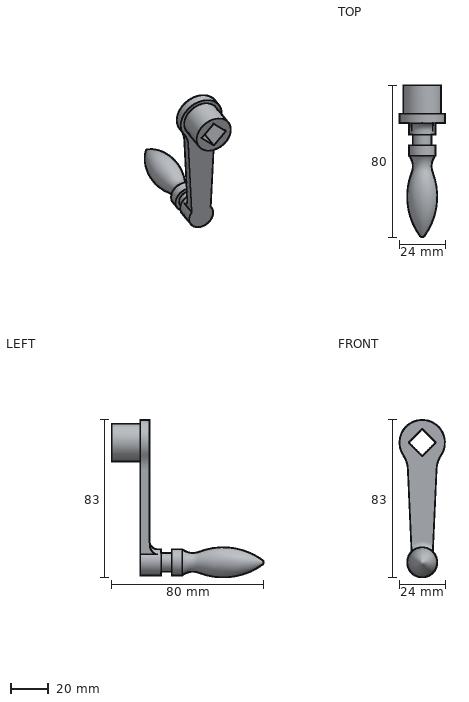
import cadquery as cq
import math

arm_length = 63.0
arm_thickness = 5.0
arm_head_radius = 12.0
arm_half_width_at_hub = 8.25
arm_half_width_at_handle = 5.4
arm_neck_fillet = 14.0

hub_radius = 10.0
hub_length = 15.0
square_side = 10.0

boss_radius = 7.0
boss_length = 11.0
boss_fillet = 4.0

pin_radius = 5.0
collar_start = 16.5
collar_radius = 7.0
waist_radius = 5.0
waist_arc_radius = 9.0
grip_radius = 8.0
grip_arc_radius = 35.0
tip_radius = 1.5
handle_end = 65.0


def point_on_circle(center, radius, angle):
    return (center[0] + radius * math.cos(angle), center[1] + radius * math.sin(angle))


def mirrored(point):
    return (-point[0], point[1])


def arm_outline():
    """Closed arm outline: round head blended into straight sides that taper towards the handle."""
    taper = math.atan2(arm_half_width_at_hub - arm_half_width_at_handle, arm_length)

    offset_from_axis = arm_half_width_at_hub * math.cos(taper) + arm_neck_fillet
    center_distance = arm_head_radius + arm_neck_fillet
    center_angle = -taper - math.acos(offset_from_axis / center_distance)
    blend_center = point_on_circle((0, 0), center_distance, center_angle)

    head_tangent = point_on_circle((0, 0), arm_head_radius, center_angle)
    side_tangent = point_on_circle(blend_center, arm_neck_fillet, math.pi - taper)
    blend_middle_angle = (center_angle + math.pi + math.pi - taper) / 2
    blend_middle = point_on_circle(blend_center, arm_neck_fillet, blend_middle_angle)
    handle_corner = (arm_half_width_at_handle, -arm_length)

    return (
        cq.Workplane("XZ")
        .moveTo(*handle_corner)
        .lineTo(*side_tangent)
        .threePointArc(blend_middle, head_tangent)
        .threePointArc((0, arm_head_radius), mirrored(head_tangent))
        .threePointArc(mirrored(blend_middle), mirrored(side_tangent))
        .lineTo(*mirrored(handle_corner))
        .close()
    )


def make_hub():
    return cq.Workplane("XZ").circle(hub_radius).extrude(-hub_length)


def make_boss():
    """Cylinder on the handle axis that carries the pin; it also forms the rounded end of the arm."""
    return cq.Workplane("XZ", origin=(0, 0, -arm_length)).circle(boss_radius).extrude(boss_length)


def revolve_about_handle_axis(profile):
    """Revolve a ZY profile, with radius along Z and length along Y, then move it onto the handle axis."""
    return profile.revolve(360, (0, 0, 0), (0, 1, 0)).translate((0, 0, -arm_length))


def make_boss_flare():
    """Concave blend around the boss, trimmed flush with the sides of the arm."""
    flare_end = arm_thickness + boss_fillet
    outer_radius = boss_radius + boss_fillet
    arc_offset = boss_fillet * (1 - math.sqrt(0.5))
    profile = (
        cq.Workplane("ZY")
        .moveTo(0, -arm_thickness)
        .lineTo(outer_radius, -arm_thickness)
        .threePointArc(
            (boss_radius + arc_offset, -arm_thickness - arc_offset),
            (boss_radius, -flare_end),
        )
        .lineTo(0, -flare_end)
        .close()
    )
    return revolve_about_handle_axis(profile).intersect(arm_outline().extrude(boss_length))


def make_handle():
    """Turned handle: pin, collar, waist, barrel grip and rounded nose, all blended tangentially."""
    nose_y = -handle_end + tip_radius
    grip_center_radius = grip_radius - grip_arc_radius
    grip_y = nose_y + math.sqrt((grip_arc_radius - tip_radius) ** 2 - grip_center_radius ** 2)
    waist_center_radius = waist_radius + waist_arc_radius
    arc_center_distance = grip_arc_radius + waist_arc_radius
    waist_y = grip_y + math.sqrt(arc_center_distance ** 2 - (waist_center_radius - grip_center_radius) ** 2)

    collar_end_y = waist_y + math.sqrt(waist_arc_radius ** 2 - (waist_center_radius - collar_radius) ** 2)

    waist_to_grip_angle = math.atan2(waist_y - grip_y, waist_center_radius - grip_center_radius)
    grip_to_nose_angle = math.atan2(nose_y - grip_y, -grip_center_radius)
    grip_center = (grip_center_radius, grip_y)
    grip_start = point_on_circle(grip_center, grip_arc_radius, waist_to_grip_angle)
    grip_end = point_on_circle(grip_center, grip_arc_radius, grip_to_nose_angle)
    nose_middle = point_on_circle((0, nose_y), tip_radius, (grip_to_nose_angle - math.pi / 2) / 2)

    profile = (
        cq.Workplane("ZY")
        .moveTo(0, -boss_length)
        .lineTo(pin_radius, -boss_length)
        .lineTo(pin_radius, -collar_start)
        .lineTo(collar_radius, -collar_start)
        .lineTo(collar_radius, collar_end_y)
        .threePointArc((waist_radius, waist_y), grip_start)
        .threePointArc((grip_radius, grip_y), grip_end)
        .threePointArc(nose_middle, (0, -handle_end))
        .close()
    )
    return revolve_about_handle_axis(profile)


def make_square_hole():
    """Square drive hole standing on its corner, through the arm and the hub."""
    hole_length = hub_length + arm_thickness
    return (
        cq.Workplane("XZ", origin=(0, hub_length, 0))
        .rect(square_side, square_side)
        .extrude(hole_length)
        .rotate((0, 0, 0), (0, 1, 0), 45)
    )


result = (
    arm_outline()
    .extrude(arm_thickness)
    .union(make_hub())
    .union(make_boss())
    .union(make_boss_flare())
    .union(make_handle())
    .cut(make_square_hole())
)